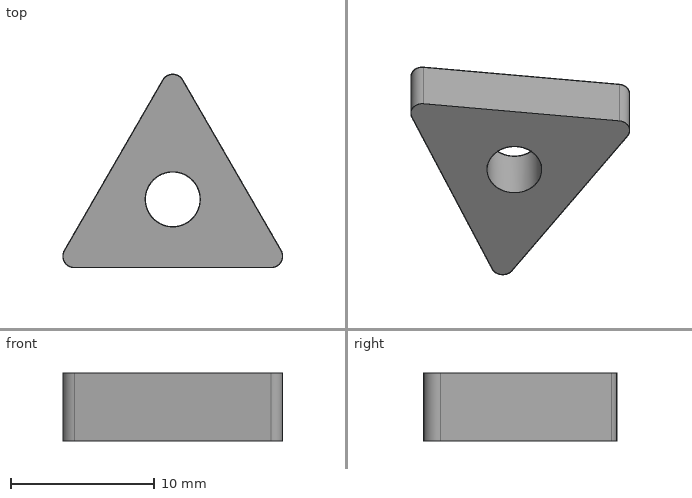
import cadquery as cq

inscribed_diameter = 9.525
thickness = 4.76
nose_radius = 0.8
hole_diameter = 3.81

corner_circle_diameter = 2 * inscribed_diameter
corner_direction = 90


def triangular_body():
    """Equilateral prism with its three upright edges rounded."""
    return (
        cq.Workplane("XY")
        .transformed(rotate=(0, 0, corner_direction))
        .polygon(3, corner_circle_diameter)
        .extrude(thickness)
        .edges("|Z")
        .fillet(nose_radius)
    )


def clamping_hole():
    """Cylinder that runs through the full thickness at the centre."""
    return cq.Workplane("XY").circle(hole_diameter / 2).extrude(thickness)


result = triangular_body().cut(clamping_hole())